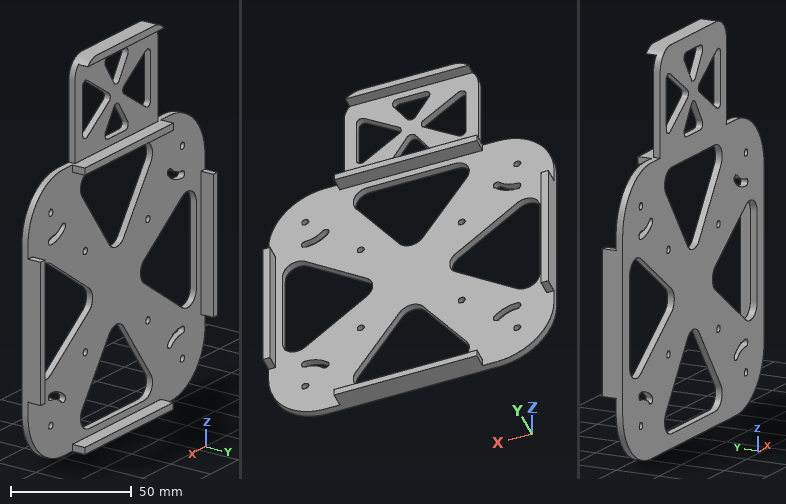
import cadquery as cq
import math

plate_size = 127.0
plate_thickness = 3.175
plate_corner_radius = 25.4

overall_height = 173.35
head_width = 59.69
head_corner_radius = 9.525

lip_thickness = 3.175
lip_length = plate_size / 2
plate_lip_top = 9.525
head_lip_top = 7.9375

hole_diameter = 3.0
inner_hole_circle_radius = 31.75
outer_hole_circle_radius = 66.675
slot_width = 3.175
slot_arc_radius = 12.7
slot_sweep = 45.0

plate_window_base = 57.15
plate_window_tip = 17.2
plate_window_half_width = 25.75
plate_window_radius = 6.35
head_center_z = 85.1
head_window_radius = 2.2
head_side_window_base = 24.35
head_side_window_tip = 4.5
head_side_window_half_width = 12.8
head_end_window_base = 18.2
head_end_window_tip = 4.3
head_end_window_half_width = 8.3

plate_half = plate_size / 2
head_top = overall_height - plate_half


def extrude_back(sketch, depth):
    """Extrude an XZ sketch from the front face towards +Y."""
    return sketch.extrude(-depth)


def plate_body(depth):
    """Square plate with rounded corners."""
    body = extrude_back(cq.Workplane("XZ").rect(plate_size, plate_size), depth)
    return body.edges("|Y").fillet(plate_corner_radius)


def head_body(depth):
    """Head tab with rounded upper corners, running down into the plate."""
    outline = cq.Workplane("XZ").center(0, head_top / 2).rect(head_width, head_top)
    return extrude_back(outline, depth).edges("|Y and >Z").fillet(head_corner_radius)


def plate_lips():
    """Four straight lips, one centred on each side of the plate."""
    offset = plate_half - lip_thickness / 2
    centers = [(0, offset), (0, -offset)]
    level = cq.Workplane("XZ").pushPoints(centers).rect(lip_length, lip_thickness)
    level_lips = extrude_back(level, plate_lip_top)
    return level_lips.union(level_lips.rotate((0, 0, 0), (0, 1, 0), 90))


def head_lip():
    """Lip along the top of the head, following its rounded corners."""
    strip = cq.Workplane("XZ").center(0, head_top - lip_thickness / 2).rect(head_width, lip_thickness)
    return head_body(head_lip_top).intersect(extrude_back(strip, head_lip_top))


def window(base, tip, half_width, radius, angle, center_z):
    """Triangular cutter with equally rounded corners, pointing at (0, center_z).

    At angle 0 the base lies above the centre; angle turns it about the Y axis.
    """
    corner_x = half_width - radius
    corner_z = base - radius
    tip_z = tip + radius
    core = cq.Workplane("XZ").polyline([(-corner_x, corner_z), (corner_x, corner_z), (0, tip_z)]).close()
    cutter = extrude_back(core.offset2D(radius, "arc"), plate_thickness)
    return cutter.rotate((0, 0, 0), (0, 1, 0), angle).translate((0, 0, center_z))


def plate_windows():
    """Four equal windows around the plate centre."""
    shape = (plate_window_base, plate_window_tip, plate_window_half_width)
    cutters = cq.Workplane("XZ")
    for angle in (0, 90, 180, 270):
        cutters = cutters.union(window(*shape, plate_window_radius, angle, 0))
    return cutters


def head_windows():
    """Two larger side windows and two smaller end windows in the head."""
    side_shape = (head_side_window_base, head_side_window_tip, head_side_window_half_width)
    end_shape = (head_end_window_base, head_end_window_tip, head_end_window_half_width)
    cutters = cq.Workplane("XZ")
    for turn in (0, 180):
        cutters = cutters.union(window(*end_shape, head_window_radius, turn, head_center_z))
        cutters = cutters.union(window(*side_shape, head_window_radius, turn + 90, head_center_z))
    return cutters


def diagonal_holes(circle_radius):
    """One hole on each plate diagonal."""
    spacing = circle_radius * math.sqrt(2)
    points = cq.Workplane("XZ").rect(spacing, spacing, forConstruction=True).vertices()
    return extrude_back(points.circle(hole_diameter / 2), plate_thickness)


def arc_slots():
    """Round-ended slots curving about the outer holes, mirrored into all four quadrants."""
    hole_place = outer_hole_circle_radius / math.sqrt(2)

    def slot_point(radius, degrees):
        angle = math.radians(degrees)
        return (hole_place + radius * math.cos(angle), hole_place + radius * math.sin(angle))

    start = -90
    middle = start - slot_sweep / 2
    end = start - slot_sweep
    inner = slot_arc_radius - slot_width / 2
    outer = slot_arc_radius + slot_width / 2
    cap = math.degrees(math.atan(slot_width / 2 / slot_arc_radius))
    cap_radius = math.hypot(slot_arc_radius, slot_width / 2)
    outline = (
        cq.Workplane("XZ")
        .moveTo(*slot_point(inner, start))
        .threePointArc(slot_point(inner, middle), slot_point(inner, end))
        .threePointArc(slot_point(cap_radius, end - cap), slot_point(outer, end))
        .threePointArc(slot_point(outer, middle), slot_point(outer, start))
        .threePointArc(slot_point(cap_radius, start + cap), slot_point(inner, start))
        .close()
    )
    right_upper = extrude_back(outline, plate_thickness)
    upper = right_upper.union(right_upper.mirror("YZ"))
    return upper.union(upper.mirror("XY"))


sheet = plate_body(plate_thickness).union(head_body(plate_thickness))
framed = sheet.union(plate_lips()).union(head_lip())
pierced = framed.cut(plate_windows()).cut(head_windows())
drilled = pierced.cut(diagonal_holes(inner_hole_circle_radius))
drilled = drilled.cut(diagonal_holes(outer_hole_circle_radius))
result = drilled.cut(arc_slots())